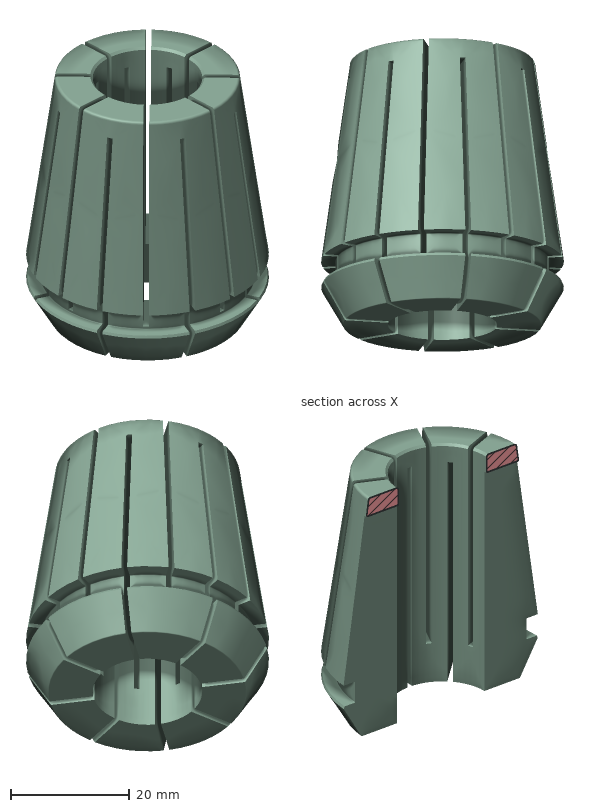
import cadquery as cq
import math

total_height = 46.0
max_radius = 20.5
bore_radius = 18.5 / 2

collar_top_z = 7.0
rim_height = 0.45
rim_inset = 0.2
nose_half_angle = 30.0
nose_edge_radius = 0.2

groove_radius = 18.1
groove_width = 4.07
groove_root_radius = 0.15

taper_half_angle = 8.0
top_edge_radius = 0.5
bore_chamfer = 0.4

slots_per_end = 8
slot_width = 1.0
lower_slot_end_z = total_height - 3.5
upper_slot_end_z = 7.5

rim_z = collar_top_z - rim_height
base_radius = max_radius - rim_z * math.tan(math.radians(nose_half_angle))
taper_start_z = collar_top_z + groove_width
taper_height = total_height - taper_start_z
top_radius = max_radius - taper_height * math.tan(math.radians(taper_half_angle))
slot_half_pitch = 180.0 / slots_per_end


def circles_of_radius(body, radius):
    """Circular edges of the body that have the given radius."""
    tolerance = 1e-4
    circles = body.edges("%CIRCLE")
    return circles.filter(lambda edge: abs(edge.radius() - radius) < tolerance)


def revolved_body():
    """Solid of revolution about Z: nose collar, groove and clamping taper."""
    outline = (
        cq.Workplane("XZ")
        .lineTo(base_radius, 0)
        .lineTo(max_radius, rim_z)
        .lineTo(max_radius - rim_inset, collar_top_z)
        .lineTo(groove_radius, collar_top_z)
        .lineTo(groove_radius, taper_start_z)
        .lineTo(max_radius, taper_start_z)
        .lineTo(top_radius, total_height)
        .lineTo(0, total_height)
        .close()
    )
    return outline.revolve(360, (0, 0, 0), (0, 1, 0))


def round_edges(body):
    """Round the bottom and top outer edges and both groove roots."""
    body = circles_of_radius(body, base_radius).fillet(nose_edge_radius)
    body = circles_of_radius(body, groove_radius).fillet(groove_root_radius)
    return circles_of_radius(body, top_radius).fillet(top_edge_radius)


def cut_bore(body):
    """Through bore with a chamfered mouth at the top."""
    body = body.cut(cq.Workplane("XY").circle(bore_radius).extrude(total_height))
    return circles_of_radius(body.faces(">Z"), bore_radius).chamfer(bore_chamfer)


def cut_radial_slots(body, bottom_z, top_z, start_angle):
    """Evenly spaced radial slots through the wall, from bottom_z to top_z."""
    blade = (
        cq.Workplane("XY", origin=(0, 0, bottom_z))
        .center(max_radius, 0)
        .rect(2 * max_radius, slot_width)
        .extrude(top_z - bottom_z)
    )
    for index in range(slots_per_end):
        angle = start_angle + index * 360.0 / slots_per_end
        body = body.cut(blade.rotate((0, 0, 0), (0, 0, 1), angle))
    return body


result = cut_bore(round_edges(revolved_body()))
result = cut_radial_slots(result, 0, lower_slot_end_z, 0)
result = cut_radial_slots(result, upper_slot_end_z, total_height, slot_half_pitch)